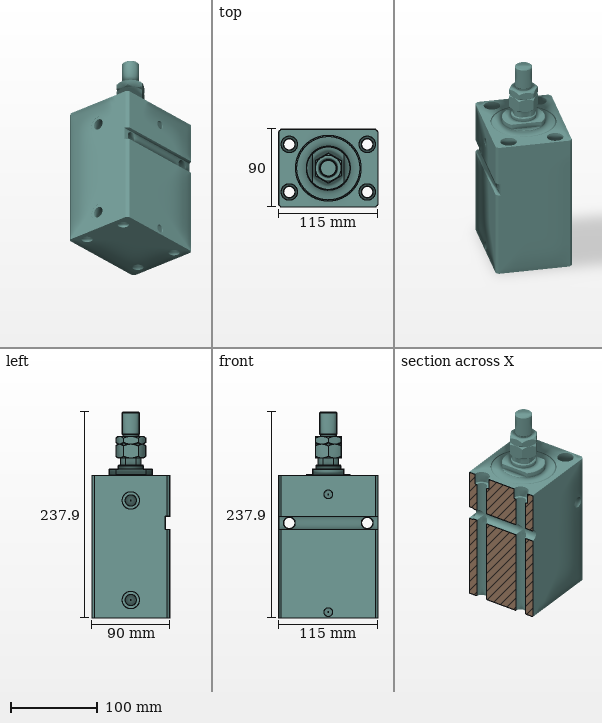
import cadquery as cq
import math


BLOCK_X = 115.0
BLOCK_Y = 90.0
BLOCK_Z = 165.0
EDGE_CHAMFER = 3.0

BOLT_HOLE_DIA = 13.0
BOLT_SPACING_X = 90.0
BOLT_SPACING_Y = 55.0
COUNTERBORE_DIA = 19.0
COUNTERBORE_DEPTH = 13.0
CROSS_HOLE_Z = -55.0

KEYWAY_HEIGHT = 15.0
KEYWAY_DEPTH = 5.0

PORT_DIA = 13.0
PORT_DEPTH = 12.0
SPOTFACE_DIA = 20.0
SPOTFACE_DEPTH = 0.2
PORT_HEIGHTS = (-29.0, 21.0 - BLOCK_Z)

VENT_DIA = 10.0
VENT_DEPTH = 2.0
VENT_HEIGHTS = (-22.0, 7.0 - BLOCK_Z)

PASSAGE_DIA = 1.0
PASSAGE_LENGTH = 2.0

GLAND_DIA = 76.0
GLAND_CHAMFER = 1.5
GLAND_DEPTH = 20.0
WIPER_LIP_HEIGHT = 0.5

ROD_DIA = 50.0
ROD_CHAMFER = 0.5
ROD_FLATS = 36.0
ROD_FLATS_BOTTOM = 1.0
ROD_TOP = 7.0
COLLAR_DIA = 29.0
COLLAR_CHAMFER = 1.0
COLLAR_TOP = 12.0
NECK_DIA = COLLAR_DIA - 2 * COLLAR_CHAMFER
NECK_FLATS = 24.0
NECK_TOP = 20.0
HEX_FLATS = 30.0
ROD_HEX_HEIGHT = 16.0
ROD_HEX_TOP = NECK_TOP + ROD_HEX_HEIGHT
RELIEF_DIA = 18.4
RELIEF_TOP = 47.0
STUD_DIA = 20.0
STUD_CHAMFER = 1.0
STUD_TOP = 72.9

LOCK_NUT_HEIGHT = 9.0

HEX_SIDES = 6
HEX_TURN = 180.0 / HEX_SIDES
HEX_CORNER_DIA = HEX_FLATS / math.cos(math.pi / HEX_SIDES)
HEX_FACE_DIA = 29.9
HEX_CHAMFER_ANGLE = 42.0


def cylinder(diameter, bottom, top):
    return cq.Workplane("XY", origin=(0, 0, bottom)).circle(diameter / 2).extrude(top - bottom)


def chamfered_hexagon(bottom, height):
    """Hexagon with two flats facing X and its corners turned off at both ends."""
    prism = (
        cq.Workplane("XY", origin=(0, 0, bottom))
        .polygon(HEX_SIDES, HEX_CORNER_DIA)
        .extrude(height)
        .rotate((0, 0, 0), (0, 0, 1), HEX_TURN)
    )
    face_radius = HEX_FACE_DIA / 2
    corner_radius = HEX_CORNER_DIA / 2
    drop = (corner_radius - face_radius) * math.tan(math.radians(HEX_CHAMFER_ANGLE))
    envelope = (
        cq.Workplane("XZ")
        .moveTo(0, bottom)
        .lineTo(face_radius, bottom)
        .lineTo(corner_radius, bottom + drop)
        .lineTo(corner_radius, bottom + height - drop)
        .lineTo(face_radius, bottom + height)
        .lineTo(0, bottom + height)
        .close()
        .revolve(360, (0, 0, 0), (0, 1, 0))
    )
    return prism.intersect(envelope)


def blind_hole(diameter, depth, face_point, inward):
    """Flat-bottomed hole entering at face_point and running along inward."""
    plane = cq.Plane(origin=face_point, normal=inward)
    return cq.Workplane(plane).circle(diameter / 2).extrude(depth)


def make_housing():
    body = cq.Workplane("XY").box(BLOCK_X, BLOCK_Y, BLOCK_Z, centered=(True, True, False))
    body = body.translate((0, 0, -BLOCK_Z)).edges("|Z").chamfer(EDGE_CHAMFER)

    body = (
        body.faces(">Z").workplane(origin=(0, 0, 0))
        .rarray(BOLT_SPACING_X, BOLT_SPACING_Y, 2, 2)
        .cboreHole(BOLT_HOLE_DIA, COUNTERBORE_DIA, COUNTERBORE_DEPTH)
    )

    keyway = cq.Workplane("XY").box(BLOCK_X, 2 * KEYWAY_DEPTH, KEYWAY_HEIGHT)
    body = body.cut(keyway.translate((0, -BLOCK_Y / 2, CROSS_HOLE_Z)))
    cross_holes = (
        cq.Workplane("XZ", origin=(0, 0, CROSS_HOLE_Z))
        .rarray(BOLT_SPACING_X, 1, 2, 1)
        .circle(BOLT_HOLE_DIA / 2)
        .extrude(BLOCK_Y / 2, both=True)
    )
    body = body.cut(cross_holes)

    for height in PORT_HEIGHTS:
        face_point = (-BLOCK_X / 2, 0, height)
        body = body.cut(blind_hole(SPOTFACE_DIA, SPOTFACE_DEPTH, face_point, (1, 0, 0)))
        body = body.cut(blind_hole(PORT_DIA, PORT_DEPTH, face_point, (1, 0, 0)))
        body = body.cut(blind_hole(PASSAGE_DIA, PORT_DEPTH + PASSAGE_LENGTH, face_point, (1, 0, 0)))

    for height in VENT_HEIGHTS:
        face_point = (0, -BLOCK_Y / 2, height)
        body = body.cut(blind_hole(VENT_DIA, VENT_DEPTH, face_point, (0, 1, 0)))
        body = body.cut(blind_hole(PASSAGE_DIA, VENT_DEPTH + PASSAGE_LENGTH, face_point, (0, 1, 0)))

    return body.cut(cylinder(GLAND_DIA, -GLAND_DEPTH, 0))


def make_gland():
    ring = cylinder(GLAND_DIA, -GLAND_DEPTH, 0).faces(">Z").chamfer(GLAND_CHAMFER)

    lip = cylinder(ROD_DIA + 2 * WIPER_LIP_HEIGHT, 0, 2 * WIPER_LIP_HEIGHT)
    lip = lip.faces(">Z").chamfer(WIPER_LIP_HEIGHT)
    lip = lip.translate((0, 0, -WIPER_LIP_HEIGHT))
    return ring.union(lip).cut(cylinder(ROD_DIA, -GLAND_DEPTH, WIPER_LIP_HEIGHT))


def make_rod():
    shaft = cylinder(ROD_DIA, -GLAND_DEPTH, ROD_FLATS_BOTTOM)
    head = cylinder(ROD_DIA, ROD_FLATS_BOTTOM, ROD_TOP).faces(">Z").chamfer(ROD_CHAMFER)
    head_flats = cq.Workplane("XY").box(ROD_FLATS, ROD_DIA, 2 * ROD_TOP)
    rod = shaft.union(head.intersect(head_flats))

    rod = rod.union(cylinder(COLLAR_DIA, ROD_TOP, COLLAR_TOP).faces(">Z").chamfer(COLLAR_CHAMFER))
    neck_flats = cq.Workplane("XY").box(NECK_FLATS, NECK_FLATS, 2 * NECK_TOP)
    rod = rod.union(cylinder(NECK_DIA, COLLAR_TOP, NECK_TOP).intersect(neck_flats))

    rod = rod.union(chamfered_hexagon(NECK_TOP, ROD_HEX_HEIGHT))
    rod = rod.union(cylinder(RELIEF_DIA, ROD_HEX_TOP, RELIEF_TOP))
    stud = cylinder(STUD_DIA, RELIEF_TOP, STUD_TOP).faces(">Z").chamfer(STUD_CHAMFER)
    stud = stud.faces("<Z").chamfer((STUD_DIA - RELIEF_DIA) / 2)
    return rod.union(stud)


def make_lock_nut():
    nut = chamfered_hexagon(ROD_HEX_TOP, LOCK_NUT_HEIGHT)
    return nut.cut(cylinder(RELIEF_DIA, ROD_HEX_TOP, ROD_HEX_TOP + LOCK_NUT_HEIGHT))


housing = make_housing()
gland = make_gland()
rod = make_rod()
lock_nut = make_lock_nut()

result = cq.Compound.makeCompound([housing.val(), gland.val(), rod.val(), lock_nut.val()])